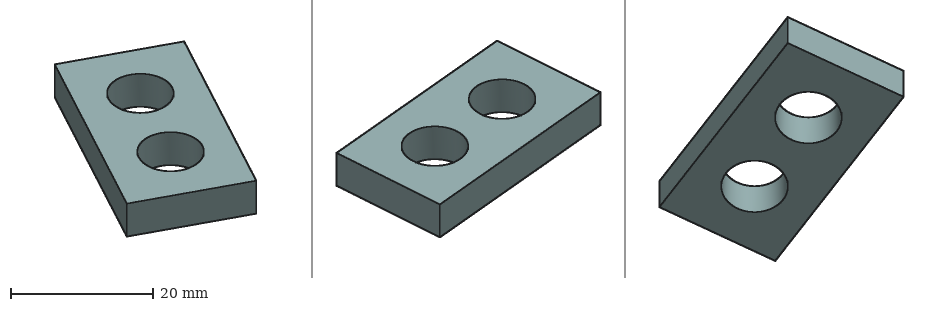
import cadquery as cq

length = 35.05
width = 19.05
thickness = 5.75

hole_diameter = 9.4
hole_spacing = 14.7

plate = cq.Workplane("XY").box(length, width, thickness)

hole_centers = [(-hole_spacing / 2, 0), (hole_spacing / 2, 0)]
result = plate.faces(">Z").workplane().pushPoints(hole_centers).hole(hole_diameter)